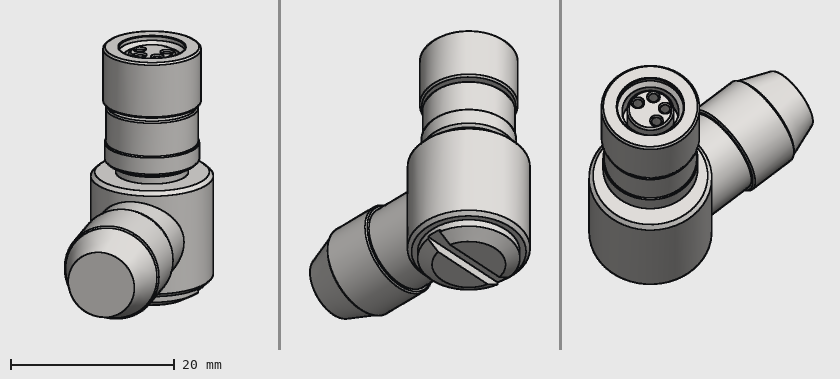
import cadquery as cq
import math


TOTAL_HEIGHT = 31.9
BODY_BOTTOM = 2.0
BODY_TOP = 15.7
BODY_RADIUS = 7.5
BODY_CHAMFER = 0.5

CAP_RADIUS = 6.25
CAP_BOTTOM_RADIUS = 4.5
CAP_CONE_HEIGHT = 1.0
SLOT_WIDTH = 2.0
SLOT_DEPTH = 1.3

NECK_RADIUS = 4.45
NECK_CONE_LARGE_RADIUS = 5.1
NECK_CONE_HEIGHT = 0.45
COLLAR_BOTTOM = 17.1
COLLAR_TOP = 24.2
COLLAR_RADIUS = 5.65
COLLAR_TOP_CHAMFER = 0.2
RING_RADIUS = 5.8
RING_CHAMFER = 0.35
RING_BEVEL_BOTTOM = 19.55
RING_BEVEL_TOP = 19.72

STEM_RADIUS = 3.0
NUT_BOTTOM = 24.7
NUT_RADIUS = 6.0
NUT_CHAMFER = 0.25

SOCKET_RADIUS = 4.05
SOCKET_EDGE_CHAMFER = 0.1
SOCKET_CONE_START = 0.6
SOCKET_CONE_END = 1.1
SOCKET_INNER_RADIUS = 3.45
SOCKET_DEPTH = 3.5
INSERT_RADIUS = 2.85
INSERT_CHAMFER = 0.25
INSERT_DEPTH = 0.65

CONTACT_CIRCLE_RADIUS = 1.8
CONTACT_ANGLES = (17.0, -53.5)
CONTACT_RADIUS = 0.6
CONTACT_EDGE_CHAMFER = 0.2
CONTACT_DEPTH = 2.5

OUTLET_HEIGHT = (BODY_BOTTOM + BODY_TOP) / 2
OUTLET_RADIUS = 5.5
GLAND_RADIUS = 6.0
GLAND_CHAMFER = 0.2
GLAND_START = 11.6
GLAND_END = 18.3
OUTLET_REACH = 22.8
OUTLET_END_RADIUS = 4.2


def revolved(profile):
    """Revolve a closed (radius, height) profile about the Z axis."""
    return cq.Workplane("XZ").polyline(profile).close().revolve(360, (0, 0, 0), (0, 1, 0))


def chamfered_cylinder(radius, bottom, top, chamfer):
    """Vertical cylinder with 45-degree chamfers on both end edges."""
    return revolved([
        (0, bottom),
        (radius - chamfer, bottom),
        (radius, bottom + chamfer),
        (radius, top - chamfer),
        (radius - chamfer, top),
        (0, top),
    ])


def make_body():
    return chamfered_cylinder(BODY_RADIUS, BODY_BOTTOM, BODY_TOP, BODY_CHAMFER)


def make_cap():
    """Conical screw cap with a driver slot running along X."""
    cap = revolved([
        (0, 0),
        (CAP_BOTTOM_RADIUS, 0),
        (CAP_RADIUS, CAP_CONE_HEIGHT),
        (CAP_RADIUS, BODY_BOTTOM),
        (0, BODY_BOTTOM),
    ])
    slot = cq.Workplane("XY").box(2 * CAP_RADIUS, SLOT_WIDTH, SLOT_DEPTH, centered=(True, True, False))
    return cap.cut(slot)


def make_collar():
    """Neck, relief cone, stepped collar and the thin stem that carries the nut."""
    cone_small_radius = NECK_CONE_LARGE_RADIUS - NECK_CONE_HEIGHT
    cone_bottom = COLLAR_BOTTOM - NECK_CONE_HEIGHT
    return revolved([
        (0, BODY_TOP),
        (NECK_RADIUS, BODY_TOP),
        (NECK_RADIUS, cone_bottom),
        (cone_small_radius, cone_bottom),
        (NECK_CONE_LARGE_RADIUS, COLLAR_BOTTOM),
        (RING_RADIUS - RING_CHAMFER, COLLAR_BOTTOM),
        (RING_RADIUS, COLLAR_BOTTOM + RING_CHAMFER),
        (RING_RADIUS, RING_BEVEL_BOTTOM),
        (COLLAR_RADIUS, RING_BEVEL_TOP),
        (COLLAR_RADIUS, COLLAR_TOP - COLLAR_TOP_CHAMFER),
        (COLLAR_RADIUS - COLLAR_TOP_CHAMFER, COLLAR_TOP),
        (STEM_RADIUS, COLLAR_TOP),
        (STEM_RADIUS, NUT_BOTTOM),
        (0, NUT_BOTTOM),
    ])


def make_nut():
    """Coupling nut with a stepped, conical socket opening upward."""
    nut = chamfered_cylinder(NUT_RADIUS, NUT_BOTTOM, TOTAL_HEIGHT, NUT_CHAMFER)
    floor = TOTAL_HEIGHT - SOCKET_DEPTH
    socket = revolved([
        (0, floor),
        (SOCKET_INNER_RADIUS, floor),
        (SOCKET_INNER_RADIUS, TOTAL_HEIGHT - SOCKET_CONE_END),
        (SOCKET_RADIUS, TOTAL_HEIGHT - SOCKET_CONE_START),
        (SOCKET_RADIUS, TOTAL_HEIGHT - SOCKET_EDGE_CHAMFER),
        (SOCKET_RADIUS + SOCKET_EDGE_CHAMFER, TOTAL_HEIGHT),
        (0, TOTAL_HEIGHT),
    ])
    return nut.cut(socket)


def contact_points():
    """Contact hole centres, in pairs either side of the YZ plane."""
    points = []
    for angle in CONTACT_ANGLES:
        x = CONTACT_CIRCLE_RADIUS * math.cos(math.radians(angle))
        y = CONTACT_CIRCLE_RADIUS * math.sin(math.radians(angle))
        points += [(x, y), (-x, y)]
    return points


def make_insert():
    """Contact carrier standing on the socket floor, with four countersunk blind holes."""
    face = TOTAL_HEIGHT - INSERT_DEPTH
    insert = (
        cq.Workplane("XY", origin=(0, 0, TOTAL_HEIGHT - SOCKET_DEPTH))
        .circle(INSERT_RADIUS)
        .extrude(SOCKET_DEPTH - INSERT_DEPTH)
        .faces(">Z")
        .chamfer(INSERT_CHAMFER)
    )
    contact = revolved([
        (0, face - CONTACT_DEPTH),
        (CONTACT_RADIUS, face - CONTACT_DEPTH),
        (CONTACT_RADIUS, face - CONTACT_EDGE_CHAMFER),
        (CONTACT_RADIUS + CONTACT_EDGE_CHAMFER, face),
        (0, face),
    ])
    for x, y in contact_points():
        insert = insert.cut(contact.translate((x, y, 0)))
    return insert


def make_outlet():
    """Cable outlet: plain tube, gland sleeve and tapered end, turned from Z to -Y."""
    outlet = revolved([
        (0, 0),
        (OUTLET_RADIUS, 0),
        (OUTLET_RADIUS, GLAND_START),
        (GLAND_RADIUS - GLAND_CHAMFER, GLAND_START),
        (GLAND_RADIUS, GLAND_START + GLAND_CHAMFER),
        (GLAND_RADIUS, GLAND_END - GLAND_CHAMFER),
        (GLAND_RADIUS - GLAND_CHAMFER, GLAND_END),
        (OUTLET_END_RADIUS, OUTLET_REACH),
        (0, OUTLET_REACH),
    ])
    return outlet.rotate((0, 0, 0), (1, 0, 0), 90).translate((0, 0, OUTLET_HEIGHT))


result = (
    make_body()
    .union(make_cap())
    .union(make_collar())
    .union(make_nut())
    .union(make_insert())
    .union(make_outlet())
)